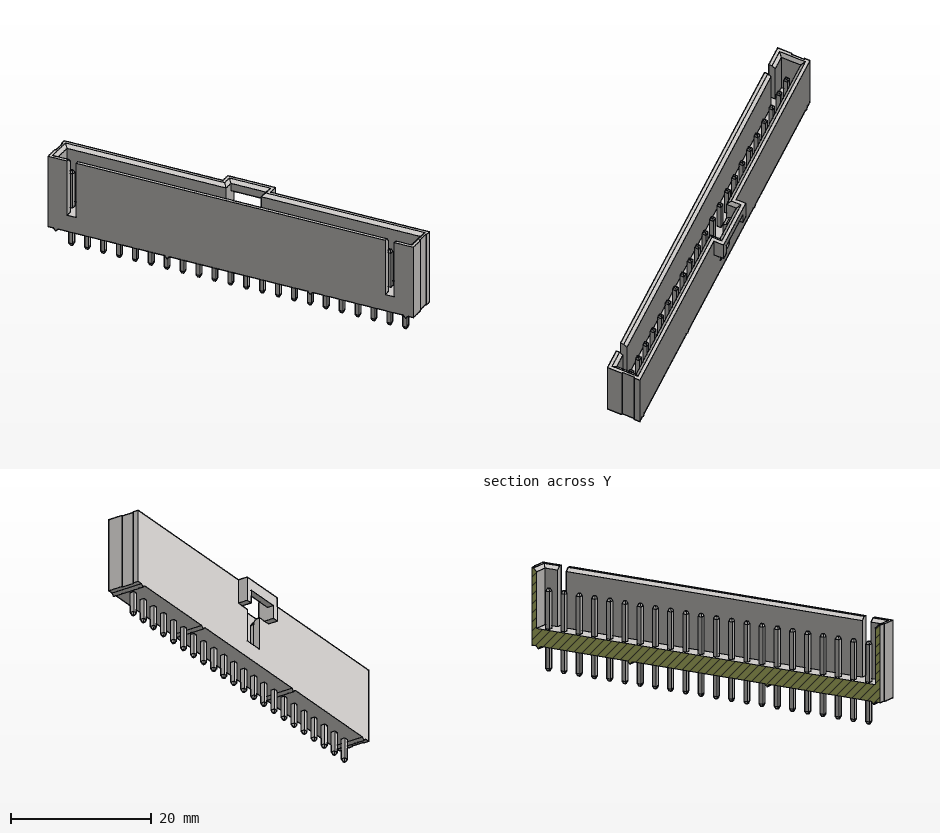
import cadquery as cq

pitch = 2.54
contact_count = 22
contact_width = 0.64
contact_tip_length = 0.4
contact_tip_width = 0.3
contact_bottom_z = -3.61
contact_top_z = 8.6

end_margin = 2.5
housing_length = (contact_count - 1) * pitch + 2 * end_margin
housing_depth = 2 * pitch
housing_height = 11.5
floor_z = 2.64
wall = 1.02
end_wall = 0.97
rim_chamfer = 0.5
front_y = -housing_depth / 2
back_y = housing_depth / 2

latch_length = 3 * pitch
latch_inner_length = latch_length - 2 * wall
latch_reach = 1.52
latch_height = 3.77
latch_bottom_z = housing_height - latch_height
latch_bar_height = 1.7

sill_z = latch_bottom_z
sill_base_z = sill_z - rim_chamfer
window_width = 3.0

slot_width = 1.43
slot_spacing = (contact_count - 2) * pitch

groove_depth = 0.15
groove_width = 1.93
groove_back_inset = 0.88

rib_positions = (-0.5, 6.5, 15.5, 21.5)
rib_width = 0.8
rib_height = 0.4


def box(x_range, y_range, z_range):
    """Box spanning the given X, Y and Z ranges."""
    size = [high - low for low, high in (x_range, y_range, z_range)]
    corner = (x_range[0], y_range[0], z_range[0])
    return cq.Workplane("XY").box(*size, centered=False).translate(corner)


def centered_range(width, center=0):
    """Low and high end of a span of the given width."""
    return center - width / 2, center + width / 2


def contact_x(index):
    """X of a contact; fractional indices fall between contacts."""
    return (index - (contact_count - 1) / 2) * pitch


def flared_opening(x_size, y_low, y_high, z_low):
    """Rectangular opening up to the rim, widened there by the rim chamfer."""
    y_center = (y_low + y_high) / 2
    y_size = y_high - y_low
    straight = box(centered_range(x_size), (y_low, y_high), (z_low, housing_height))
    flare = (
        cq.Workplane("XY", origin=(0, y_center, housing_height - rim_chamfer))
        .rect(x_size, y_size)
        .workplane(offset=rim_chamfer)
        .rect(x_size + 2 * rim_chamfer, y_size + 2 * rim_chamfer)
        .loft(ruled=True)
    )
    return straight.union(flare)


def make_housing():
    """Tray with its latch box, both hollowed out from the rim."""
    shell = box(
        centered_range(housing_length), (front_y, back_y), (0, housing_height)
    )
    latch = box(
        centered_range(latch_length),
        (back_y - wall, back_y + latch_reach),
        (latch_bottom_z, housing_height),
    )
    cavity = flared_opening(
        housing_length - 2 * end_wall, front_y + wall, back_y - wall, floor_z
    )
    latch_opening = flared_opening(
        latch_inner_length,
        front_y + wall,
        back_y + latch_reach - wall,
        latch_bottom_z,
    )
    return shell.union(latch).cut(cavity).cut(latch_opening)


def make_latch_gap():
    """Passage under the bar that closes the latch box at its top."""
    return box(
        centered_range(latch_inner_length),
        (back_y - wall, back_y + latch_reach),
        (sill_base_z, housing_height - latch_bar_height),
    )


def make_sill():
    """Top of the back wall below the latch box, bevelled along its inner edge."""
    return (
        cq.Workplane("YZ")
        .polyline([
            (back_y - wall, sill_base_z),
            (back_y - wall + rim_chamfer, sill_z),
            (back_y, sill_z),
            (back_y, sill_base_z),
        ])
        .close()
        .extrude(latch_inner_length / 2, both=True)
    )


def make_window():
    """Notch through the sill, level with the cavity floor."""
    return box(
        centered_range(window_width),
        (back_y - wall, back_y),
        (floor_z, sill_z),
    )


def make_slot(x):
    """Front wall slot from the cavity floor to the rim."""
    return box(
        centered_range(slot_width, x),
        (front_y, front_y + wall),
        (floor_z, housing_height),
    )


def make_end_groove(side):
    """Full-height groove in the end face at -X (side -1) or +X (side 1)."""
    groove_back_y = back_y - groove_back_inset
    return box(
        centered_range(2 * groove_depth, side * housing_length / 2),
        (groove_back_y - groove_width, groove_back_y),
        (0, housing_height),
    )


def make_rib(x):
    """V-shaped rib running from the front face to the back face."""
    return (
        cq.Workplane("XZ", origin=(x, back_y, 0))
        .polyline([(-rib_width / 2, 0), (rib_width / 2, 0), (0, -rib_height)])
        .close()
        .extrude(housing_depth)
    )


def make_contact():
    """Square pin on the Z axis with both ends tapered."""
    shaft = box(
        centered_range(contact_width),
        centered_range(contact_width),
        (contact_bottom_z + contact_tip_length, contact_top_z - contact_tip_length),
    )
    for face in (">Z", "<Z"):
        tip = (
            shaft.faces(face)
            .workplane(centerOption="CenterOfMass")
            .rect(contact_width, contact_width)
            .workplane(offset=contact_tip_length)
            .rect(contact_tip_width, contact_tip_width)
            .loft(ruled=True, combine=False)
        )
        shaft = shaft.union(tip)
    return shaft


result = make_housing().cut(make_latch_gap()).union(make_sill()).cut(make_window())

for side in (-1, 1):
    result = result.cut(make_slot(side * slot_spacing / 2))
    result = result.cut(make_end_groove(side))

for position in rib_positions:
    result = result.union(make_rib(contact_x(position)))

contact = make_contact()
for index in range(contact_count):
    result = result.union(contact.translate((contact_x(index), 0, 0)))